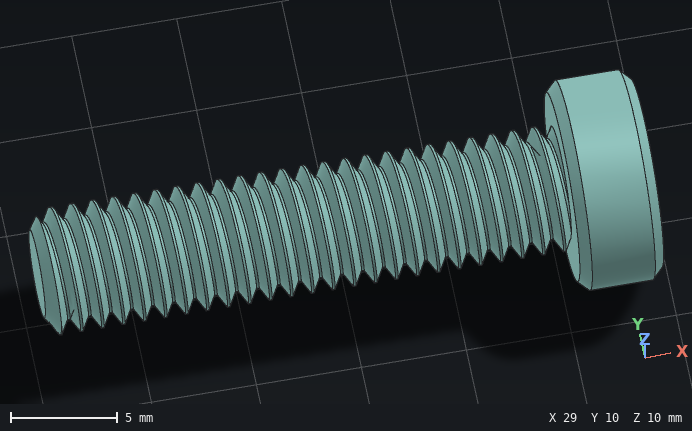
import math
import cadquery as cq

head_diameter = 10.0
head_height = 4.0
head_chamfer = 0.5

shank_length = 25.0
thread_diameter = 6.0
root_diameter = 4.7
pitch = 1.0
flank_half_angle = math.radians(30)
crest_width = pitch / 8
crest_offset = 0.8
root_overlap = 0.05

tip_diameter = 4.2
tip_chamfer_length = 0.6
limit_clearance = 1.0

tip_overrun = 2 * pitch
head_overrun = pitch

thread_radius = thread_diameter / 2
root_radius = root_diameter / 2
tip_radius = tip_diameter / 2


def make_tip_limit():
    """Space left for the tip: a cone widening from Z = 0, then a clear cylinder past the crests."""
    length_per_radius = tip_chamfer_length / (thread_radius - tip_radius)
    limit_radius = thread_radius + limit_clearance
    cone_height = (limit_radius - tip_radius) * length_per_radius
    limit_height = shank_length + head_height
    return (
        cq.Workplane("XZ")
        .lineTo(tip_radius, 0)
        .lineTo(limit_radius, cone_height)
        .lineTo(limit_radius, limit_height)
        .lineTo(0, limit_height)
        .close()
        .revolve(360, (0, 0, 0), (0, 1, 0))
    )


def make_thread_ridge():
    """Right-handed helical ridge along Z that runs past both ends of the shank."""
    start = crest_offset - tip_overrun
    height = shank_length + tip_overrun
    foot_radius = root_radius - root_overlap
    crest_half = crest_width / 2
    foot_half = crest_half + (thread_radius - foot_radius) * math.tan(flank_half_angle)

    helix = cq.Wire.makeHelix(pitch, height, root_radius).translate(cq.Vector(0, 0, start))
    profile = (
        cq.Workplane("XZ")
        .moveTo(foot_radius, start - foot_half)
        .lineTo(thread_radius, start - crest_half)
        .lineTo(thread_radius, start + crest_half)
        .lineTo(foot_radius, start + foot_half)
        .close()
    )
    return profile.sweep(cq.Workplane(helix), isFrenet=True)


def make_shank():
    """Root core and thread ridge, cut to the chamfered tip."""
    core = (
        cq.Workplane("XY", origin=(0, 0, -tip_overrun))
        .circle(root_radius)
        .extrude(tip_overrun + shank_length + head_overrun)
    )
    return core.union(make_thread_ridge()).intersect(make_tip_limit())


def make_head():
    """Plain cylindrical head above the shank, chamfered on both rims."""
    return (
        cq.Workplane("XY", origin=(0, 0, shank_length))
        .circle(head_diameter / 2)
        .extrude(head_height)
        .edges("%CIRCLE")
        .chamfer(head_chamfer)
    )


result = make_shank().union(make_head()).rotate((0, 0, 0), (0, 1, 0), 90)